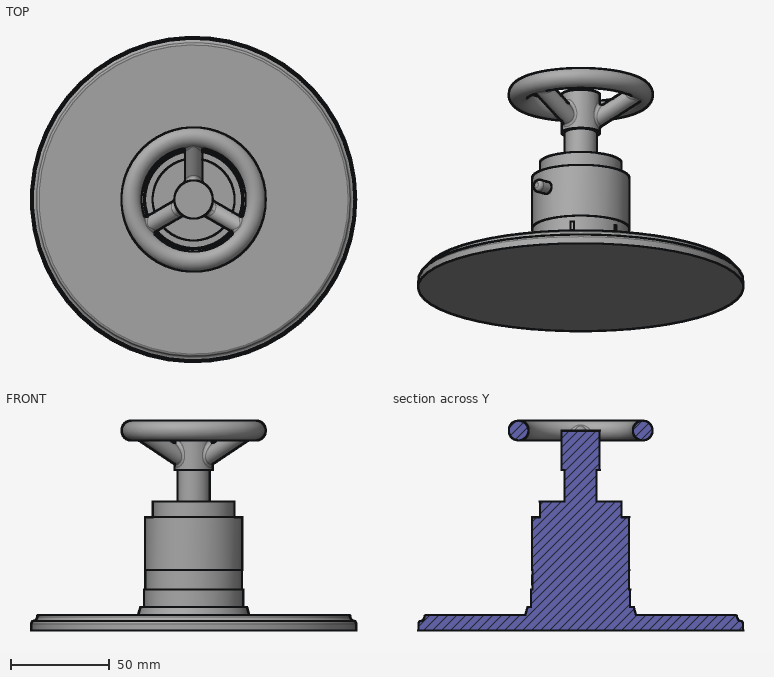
import cadquery as cq
import math

plate_radius = 82.5
plate_edge_height = 3.5
plate_bead_height = 5.0
plate_bead_radius = 81.5
plate_cove_size = 2.0
plate_cove_top = plate_bead_height + plate_cove_size
plate_lip_radius = plate_bead_radius - plate_cove_size
plate_height = 8.0
plate_top_radius = 78.5

collar_bottom_radius = 28.2
collar_top_radius = 27.0
collar_top = 12.0
skirt_radius = 25.3
skirt_top = 21.0
barrel_radius = 24.8
barrel_top = 57.6
cap_radius = 20.8
cap_top = 65.5
stem_radius = 8.3
stem_top = 81.4

dial_radius = 24.6
dial_top = 30.9
tick_width = 1.7
tick_height = 4.6
tick_depth = 0.08
tick_center_height = 25.6
tick_angles = [180.0, 124.0]

pin_radius = 3.1
pin_reach = 32.2
pin_height = 47.4
pin_tip_fillet = 1.8

overall_height = 106.7
rim_outer_radius = 36.7
rim_tube_radius = 5.1
rim_radius = rim_outer_radius - rim_tube_radius
rim_height = overall_height - rim_tube_radius
hub_radius = 9.7
hub_top = rim_height
spoke_count = 3
spoke_radius = 4.5
spoke_start_radius = hub_radius / 2
spoke_rise_angle = 30.0
spoke_fillet = 1.7


def disc(radius, bottom, top):
    return cq.Workplane("XY").workplane(offset=bottom).circle(radius).extrude(top - bottom)


def make_plate():
    arc_middle = math.sin(math.radians(45))
    cove_middle_radius = plate_bead_radius - plate_cove_size * arc_middle
    cove_middle_height = plate_cove_top - plate_cove_size * arc_middle
    half_profile = (
        cq.Workplane("XZ")
        .lineTo(plate_radius, 0)
        .lineTo(plate_radius, plate_edge_height)
        .tangentArcPoint((plate_bead_radius, plate_bead_height), relative=False)
        .threePointArc((cove_middle_radius, cove_middle_height), (plate_lip_radius, plate_cove_top))
        .tangentArcPoint((plate_top_radius, plate_height), relative=False)
        .lineTo(0, plate_height)
        .close()
    )
    return half_profile.revolve(360, (0, 0, 0), (0, 1, 0))


def make_body():
    collar = (
        cq.Workplane("XZ")
        .moveTo(0, plate_height)
        .lineTo(collar_bottom_radius, plate_height)
        .lineTo(collar_top_radius, collar_top)
        .lineTo(0, collar_top)
        .close()
        .revolve(360, (0, 0, 0), (0, 1, 0))
    )
    skirt = disc(skirt_radius, collar_top, skirt_top)
    dial = disc(dial_radius, skirt_top, dial_top)
    barrel = disc(barrel_radius, dial_top, barrel_top)
    cap = disc(cap_radius, barrel_top, cap_top)
    stem = disc(stem_radius, cap_top, stem_top)
    return collar.union(skirt).union(dial).union(barrel).union(cap).union(stem)


def make_ticks():
    tick_bottom = tick_center_height - tick_height / 2
    tick_top = tick_center_height + tick_height / 2
    floor_cylinder = disc(dial_radius - tick_depth, tick_bottom, tick_top)
    tick_ring = disc(dial_radius, tick_bottom, tick_top).cut(floor_cylinder)
    bar = cq.Workplane("XY").box(barrel_radius, tick_width, barrel_top, centered=(False, True, False))
    ticks = cq.Workplane("XY")
    for angle in tick_angles:
        ticks = ticks.add(tick_ring.intersect(bar.rotate((0, 0, 0), (0, 0, 1), angle)))
    return ticks.combine()


def make_pin():
    return (
        cq.Workplane("XZ", origin=(0, 0, pin_height))
        .circle(pin_radius)
        .extrude(-pin_reach)
        .faces(">Y")
        .edges()
        .fillet(pin_tip_fillet)
    )


def make_spoke():
    rise = math.radians(spoke_rise_angle)
    axis_run = rim_radius - spoke_start_radius
    axis_start = cq.Vector(0, spoke_start_radius, rim_height - axis_run * math.tan(rise))
    axis_direction = cq.Vector(0, math.cos(rise), math.sin(rise))
    axis_length = axis_run / math.cos(rise)
    return cq.Workplane(cq.Solid.makeCylinder(spoke_radius, axis_length, axis_start, axis_direction))


def make_rim():
    return cq.Workplane(cq.Solid.makeTorus(rim_radius, rim_tube_radius, cq.Vector(0, 0, rim_height)))


def make_handwheel():
    wheel = make_rim().union(disc(hub_radius, stem_top, hub_top), clean=False)
    spoke = make_spoke()
    for index in range(spoke_count):
        wheel = wheel.union(spoke.rotate((0, 0, 0), (0, 0, 1), index * 360 / spoke_count), clean=False)
    blend_edges = wheel.edges("not %CIRCLE").edges("not %LINE")
    return blend_edges.fillet(spoke_fillet)


result = (
    make_plate()
    .union(make_body())
    .cut(make_ticks())
    .union(make_pin())
    .union(make_handwheel(), clean=False)
)